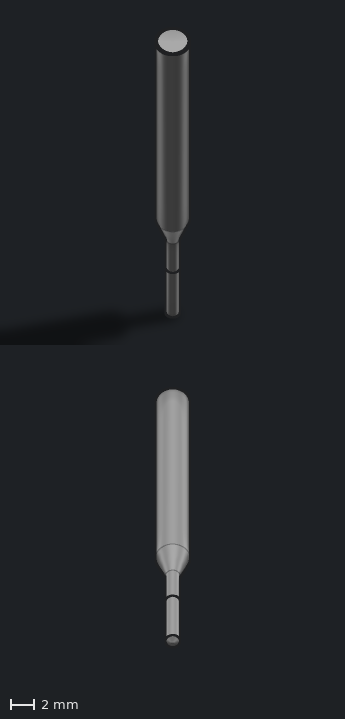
import cadquery as cq
import math

total_length = 37.5
shank_diameter = 3.0
stem_diameter = 1.28

taper_top = 13.2
taper_bottom = 10.45
cutter_top = 6.5

point_angle = 120.0
top_bevel_width = 0.15
top_bevel_height = 0.08

shank_radius = shank_diameter / 2
stem_radius = stem_diameter / 2
point_height = stem_radius / math.tan(math.radians(point_angle / 2))


def revolve_outline(points):
    """Turn a closed (radius, height) outline about the Z axis into a solid."""
    return cq.Workplane("XZ").polyline(points).close().revolve(360, (0, 0, 0), (0, 1, 0))


def make_shank():
    """Bevelled shank that tapers down to a slim neck."""
    return revolve_outline([
        (0, cutter_top),
        (stem_radius, cutter_top),
        (stem_radius, taper_bottom),
        (shank_radius, taper_top),
        (shank_radius, total_length - top_bevel_height),
        (shank_radius - top_bevel_width, total_length),
        (0, total_length),
    ])


def make_cutter():
    """Plain cylindrical cutting end with a conical point."""
    return revolve_outline([
        (0, 0),
        (stem_radius, point_height),
        (stem_radius, cutter_top),
        (0, cutter_top),
    ])


shank = make_shank()
cutter = make_cutter()

result = cq.Compound.makeCompound([shank.val(), cutter.val()])